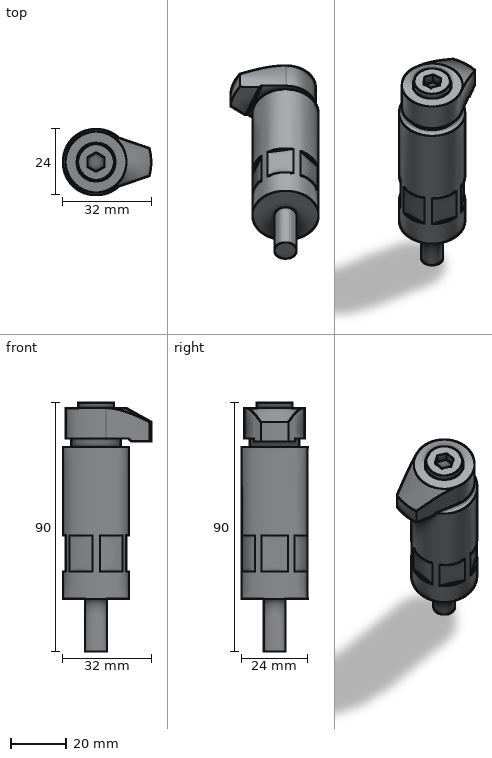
import cadquery as cq
import math

BODY_BOTTOM = 19.0
FLATS_BOTTOM = 29.0
FLATS_HEIGHT = 13.0
BODY_TOP = 74.0
NOSE_BOTTOM = 76.0
CLAMP_BOTTOM = 77.0
CLAMP_TOP = 88.0
SCREW_TOP = 90.0

BODY_RADIUS = 12.0
COLLAR_RADIUS = 9.0
WRENCH_SIZE = 22.0

HUB_RADIUS = 11.0
TIP_RADIUS = 20.0
TIP_HALF_WIDTH = 5.0
TIP_DROP = 5.0
NOSE_START = 11.75
NOSE_RAMP = 1.0

SCREW_RADIUS = 4.0
HEAD_RADIUS = 6.5
HEAD_HEIGHT = 8.0
HEAD_CLEARANCE = 0.5
SOCKET_SIZE = 6.0
SOCKET_DEPTH = 4.0

HEAD_BOTTOM = SCREW_TOP - HEAD_HEIGHT


def cylinder(radius, bottom, top):
    return cq.Workplane("XY").workplane(offset=bottom).circle(radius).extrude(top - bottom)


def hexagon_prism(across_flats, bottom, height):
    """Hexagonal prism with two of its flats facing -X and +X."""
    across_corners = across_flats / math.cos(math.pi / 6)
    prism = cq.Workplane("XY").polygon(6, across_corners).extrude(height)
    return prism.rotate((0, 0, 0), (0, 0, 1), 30).translate((0, 0, bottom))


def make_body():
    body = cylinder(BODY_RADIUS, BODY_BOTTOM, BODY_TOP)
    ring = cylinder(2 * BODY_RADIUS, FLATS_BOTTOM, FLATS_BOTTOM + FLATS_HEIGHT)
    body = body.cut(ring.cut(hexagon_prism(WRENCH_SIZE, FLATS_BOTTOM, FLATS_HEIGHT)))
    body = body.union(cylinder(COLLAR_RADIUS, BODY_TOP, CLAMP_BOTTOM))
    return body.cut(cylinder(SCREW_RADIUS, BODY_BOTTOM, CLAMP_BOTTOM))


def arm_blank():
    """Tapered arm with flanks tangent to the hub, its end an arc about the axis."""
    tip_angle = math.asin(TIP_HALF_WIDTH / TIP_RADIUS)
    tangent_angle = tip_angle + math.acos(HUB_RADIUS / TIP_RADIUS)
    tangent_x = HUB_RADIUS * math.cos(tangent_angle)
    tangent_y = HUB_RADIUS * math.sin(tangent_angle)
    tip_x = TIP_RADIUS * math.cos(tip_angle)
    return (
        cq.Workplane("XY")
        .workplane(offset=NOSE_BOTTOM)
        .moveTo(tangent_x, -tangent_y)
        .lineTo(tip_x, -TIP_HALF_WIDTH)
        .threePointArc((TIP_RADIUS, 0), (tip_x, TIP_HALF_WIDTH))
        .lineTo(tangent_x, tangent_y)
        .threePointArc((-HUB_RADIUS, 0), (tangent_x, -tangent_y))
        .close()
        .extrude(CLAMP_TOP - NOSE_BOTTOM)
    )


def conical_top_envelope():
    """Solid of revolution, flat over the hub and falling as a cone to the tip."""
    return (
        cq.Workplane("XZ")
        .moveTo(0, NOSE_BOTTOM)
        .lineTo(TIP_RADIUS, NOSE_BOTTOM)
        .lineTo(TIP_RADIUS, CLAMP_TOP - TIP_DROP)
        .lineTo(HUB_RADIUS, CLAMP_TOP)
        .lineTo(0, CLAMP_TOP)
        .close()
        .revolve(360, (0, 0, 0), (0, 1, 0))
    )


def underside_relief():
    """Material below the clamp underside, leaving only the nose at the tip."""
    return (
        cq.Workplane("XZ")
        .moveTo(-BODY_RADIUS, NOSE_BOTTOM)
        .lineTo(NOSE_START + NOSE_RAMP, NOSE_BOTTOM)
        .lineTo(NOSE_START, CLAMP_BOTTOM)
        .lineTo(-BODY_RADIUS, CLAMP_BOTTOM)
        .close()
        .extrude(BODY_RADIUS, both=True)
    )


def make_clamp():
    clamp = arm_blank().intersect(conical_top_envelope()).cut(underside_relief())
    clamp = clamp.cut(cylinder(HEAD_RADIUS + HEAD_CLEARANCE, HEAD_BOTTOM, CLAMP_TOP))
    return clamp.cut(cylinder(SCREW_RADIUS, CLAMP_BOTTOM, HEAD_BOTTOM))


def make_screw():
    shank = cylinder(SCREW_RADIUS, 0, HEAD_BOTTOM)
    screw = shank.union(cylinder(HEAD_RADIUS, HEAD_BOTTOM, SCREW_TOP))
    return screw.cut(hexagon_prism(SOCKET_SIZE, SCREW_TOP - SOCKET_DEPTH, SOCKET_DEPTH))


body = make_body()
clamp = make_clamp()
screw = make_screw()

result = cq.Compound.makeCompound([part.solids().val() for part in (body, clamp, screw)])